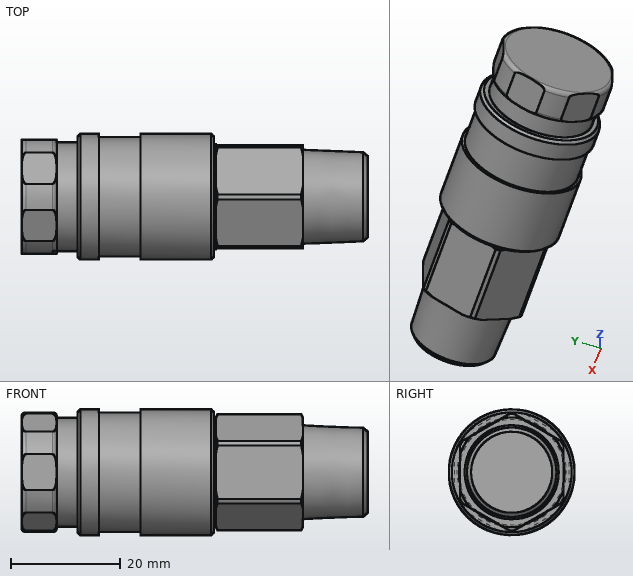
import cadquery as cq

cap_end = 6.5
collar_start = 10.2
groove_start = 14.15
groove_end = 21.8
sleeve_end = 35.3
hex_start = 35.65
hex_end = 51.6
total_length = 63.5

cap_diameter = 22.0
cap_flats = 20.95
cap_rounding = 0.8

neck_diameter = 20.0
sleeve_diameter = 23.1
groove_diameter = 22.0
sleeve_chamfer = 0.6
relief_diameter = 19.4

hex_flats = 18.95
hex_corner_diameter = 21.35
hex_chamfer_length = 0.3
hex_chamfer_depth = 0.65

spigot_root_diameter = 17.3
spigot_front_diameter = 16.4
spigot_chamfer_length = 0.95
spigot_chamfer_depth = 0.75


def revolve_profile(points):
    """Solid of revolution about X from (x, radius) points, closed along the axis."""
    start = points[0][0]
    end = points[-1][0]
    outline = [(start, 0), *points, (end, 0)]
    return cq.Workplane("XY").polyline(outline).close().revolve(360, (0, 0, 0), (1, 0, 0))


def cylinder(start, end, diameter):
    return revolve_profile([(start, diameter / 2), (end, diameter / 2)])


def hexagonal_bar(start, end, flats):
    """Hexagonal bar along X with two of its flats facing +Y and -Y."""
    bar = cq.Workplane("YZ", origin=(start, 0, 0)).polygon(6, flats, circumscribed=True)
    return bar.extrude(end - start)


def make_cap():
    turned = cylinder(0, cap_end, cap_diameter).faces("<X or >X").edges().fillet(cap_rounding)
    return turned.intersect(hexagonal_bar(0, cap_end, cap_flats))


def make_sleeve():
    """Sleeve with chamfered ends and a wide shallow groove around it."""
    radius = sleeve_diameter / 2
    groove_radius = groove_diameter / 2
    return revolve_profile([
        (collar_start, radius - sleeve_chamfer),
        (collar_start + sleeve_chamfer, radius),
        (groove_start, radius),
        (groove_start, groove_radius),
        (groove_end, groove_radius),
        (groove_end, radius),
        (sleeve_end - sleeve_chamfer, radius),
        (sleeve_end, radius - sleeve_chamfer),
    ])


def make_wrench_hexagon():
    radius = hex_corner_diameter / 2
    turned = revolve_profile([
        (hex_start, radius - hex_chamfer_depth),
        (hex_start + hex_chamfer_length, radius),
        (hex_end - hex_chamfer_length, radius),
        (hex_end, radius - hex_chamfer_depth),
    ])
    return turned.intersect(hexagonal_bar(hex_start, hex_end, hex_flats))


def make_spigot():
    front_radius = spigot_front_diameter / 2
    return revolve_profile([
        (hex_end, spigot_root_diameter / 2),
        (total_length - spigot_chamfer_length, front_radius),
        (total_length, front_radius - spigot_chamfer_depth),
    ])


neck = cylinder(cap_end, collar_start, neck_diameter)
relief = cylinder(sleeve_end, hex_start, relief_diameter)

result = make_cap()
for section in (neck, make_sleeve(), relief, make_wrench_hexagon(), make_spigot()):
    result = result.union(section)